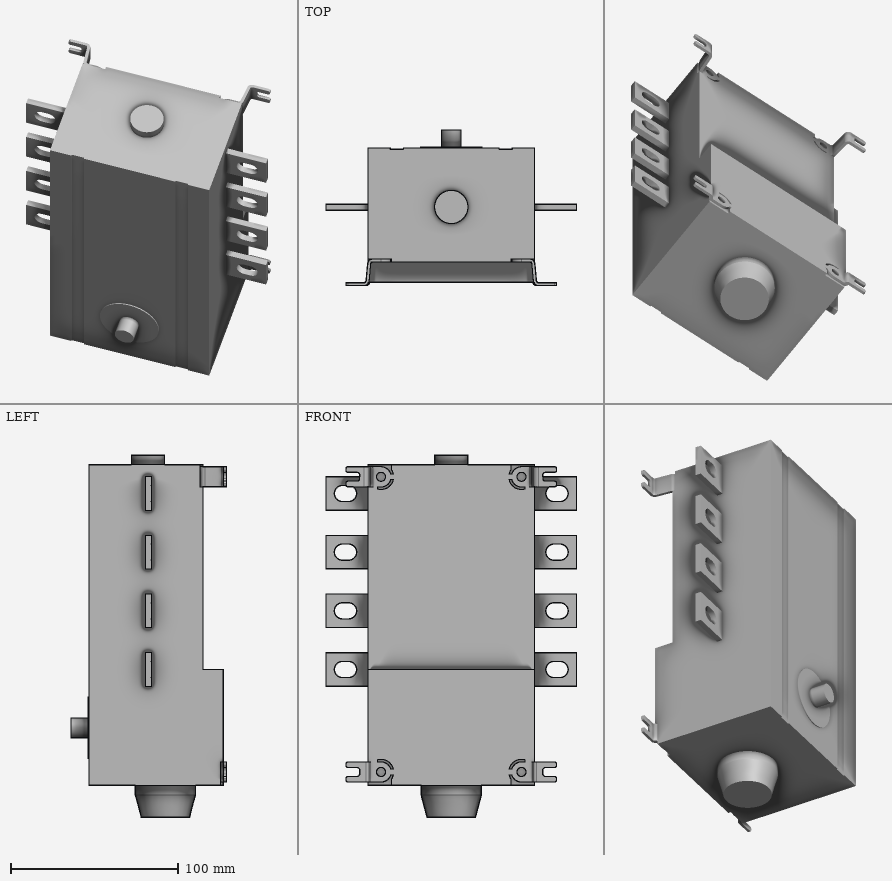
import cadquery as cq
import math

case_width = 99.5
case_height = 191.8
upper_depth = 68.2
lower_depth = 80.3
step_height = 69.3
half_width = case_width / 2

groove_width = 7.8
groove_offset = 32.5
groove_depth = 0.6
disc_diameter = 36.8
disc_height = 0.6
pin_diameter = 12.0
pin_length = 10.8
pin_z = 34.5

top_stub_diameter = 20.0
top_stub_height = 5.6
top_stub_y = -35.3
knob_diameter = 36.2
knob_tip_diameter = 29.0
knob_straight = 5.6
knob_height = 19.0
knob_y = -45.7

bar_length = 150.0
bar_height = 20.1
bar_thickness = 3.7
bar_pitch = 35.0
bar_count = 4
top_bar_z = 174.5
bar_y = -35.5
bar_slot_offset = 63.2
bar_slot_length = 13.2
bar_slot_width = 9.5

bracket_height = 12.1
bracket_thickness = 1.7
bracket_tip_x = 63.0
bracket_hole_x = 42.0
bracket_hole_diameter = 5.5
bracket_foot_y = -82.3
bracket_slot_end_x = 54.8
bracket_slot_width = 5.2
slot_corner_radius = 1.5
prong_radius = 1.3
pad_radius = bracket_height / 2
upper_bracket_z = case_height - 7.4
lower_bracket_z = 8.0

upper_leg_root_x = -49.8
upper_leg_foot_x = -51.0
upper_bend_radius = 1.3
lower_leg_root_x = -50.2
lower_leg_foot_x = -51.5
lower_bend_radius = 0.5

pocket_depth = bracket_thickness
pocket_width = 14.0
pocket_radius = 7.5
pocket_start = 2.2
tooth_width = 3.5
tooth_overlap = 1.0


def box(x_range, y_range, z_range):
    """Box from its low and high limit along each axis."""
    (x0, x1), (y0, y1), (z0, z1) = x_range, y_range, z_range
    return cq.Workplane("XY").box(x1 - x0, y1 - y0, z1 - z0, centered=False).translate((x0, y0, z0))


def y_cylinder(diameter, x, z, y_front, length):
    """Cylinder along Y that starts at y_front and runs toward +Y."""
    return cq.Workplane("XZ", origin=(x, y_front, z)).circle(diameter / 2).extrude(-length)


def make_case():
    profile = [
        (0, 0),
        (-lower_depth, 0),
        (-lower_depth, step_height),
        (-upper_depth, step_height),
        (-upper_depth, case_height),
        (0, case_height),
    ]
    case = cq.Workplane("YZ").polyline(profile).close().extrude(half_width, both=True)
    for side in (-1, 1):
        middle = side * groove_offset
        x_range = (middle - groove_width / 2, middle + groove_width / 2)
        case = case.cut(box(x_range, (-groove_depth, 0), (0, case_height)))
    disc = y_cylinder(disc_diameter, 0, pin_z, 0, disc_height)
    pin = y_cylinder(pin_diameter, 0, pin_z, 0, pin_length)
    return case.union(disc).union(pin)


def make_top_stub():
    base = cq.Workplane("XY", origin=(0, top_stub_y, case_height))
    return base.circle(top_stub_diameter / 2).extrude(top_stub_height)


def make_knob():
    half_profile = [
        (0, 0),
        (knob_diameter / 2, 0),
        (knob_diameter / 2, -knob_straight),
        (knob_tip_diameter / 2, -knob_height),
        (0, -knob_height),
    ]
    knob = cq.Workplane("XZ").polyline(half_profile).close().revolve(360, (0, 0, 0), (0, 1, 0))
    return knob.translate((0, knob_y, 0))


def make_terminal_bar(z):
    bar = cq.Workplane("XZ", origin=(0, bar_y, z)).rect(bar_length, bar_height)
    bar = bar.extrude(bar_thickness / 2, both=True)
    slots = cq.Workplane("XZ", origin=(0, bar_y, z))
    slots = slots.pushPoints([(-bar_slot_offset, 0), (bar_slot_offset, 0)])
    slots = slots.slot2D(bar_slot_length, bar_slot_width)
    return bar.cut(slots.extrude(bar_thickness, both=True))


def make_pocket(front_y, z, edge_z):
    """Left-hand pocket, open to the case side and to the end face at edge_z."""
    y_range = (front_y, front_y + pocket_depth)
    toward_edge = math.copysign(1, edge_z - z)
    pad_edge_z = z - toward_edge * pad_radius
    corner = box(
        (-half_width, -half_width + pocket_width),
        y_range,
        sorted((z, edge_z)),
    )
    strip = box((-half_width, -bracket_hole_x), y_range, sorted((pad_edge_z, z)))
    round_end = y_cylinder(2 * pocket_radius, -bracket_hole_x, z, front_y, pocket_depth)
    kept = box(
        (-bracket_hole_x - pocket_start, -bracket_hole_x + pocket_radius),
        y_range,
        (z - pocket_radius, z + pocket_radius),
    )
    tooth = box(
        (-bracket_hole_x + pad_radius - tooth_overlap, -bracket_hole_x + pocket_radius),
        y_range,
        (z - tooth_width / 2, z + tooth_width / 2),
    )
    return corner.union(strip).union(round_end.intersect(kept)).cut(tooth)


def make_bracket(front_y, z, leg_root_x, leg_foot_x, inner_radius):
    """Left-hand bracket: pad on the pocket floor, leg to the front, forked foot."""
    t = bracket_thickness
    outer_radius = inner_radius + t
    pad_back = front_y + pocket_depth
    pad_end_x = -bracket_hole_x + pad_radius
    strip = [
        (pad_end_x, pad_back),
        (leg_root_x, pad_back),
        (leg_foot_x, bracket_foot_y + t),
        (-bracket_tip_x, bracket_foot_y + t),
        (-bracket_tip_x, bracket_foot_y),
        (leg_foot_x + t, bracket_foot_y),
        (leg_root_x + t, pad_back - t),
        (pad_end_x, pad_back - t),
    ]
    blank = cq.Workplane("XY").polyline(strip).close().extrude(bracket_height)
    blank = blank.translate((0, 0, z - pad_radius))

    def bend_at(corner):
        return cq.selectors.NearestToPointSelector((corner[0], corner[1], z))

    for corner in (strip[1], strip[5]):
        blank = blank.edges(bend_at(corner)).fillet(outer_radius)
    for corner in (strip[2], strip[6]):
        blank = blank.edges(bend_at(corner)).fillet(inner_radius)

    reach = 2 * lower_depth
    round_end = y_cylinder(bracket_height, -bracket_hole_x, z, -reach, reach)
    straight = box(
        (-bracket_tip_x, -bracket_hole_x),
        (-reach, 0),
        (z - pad_radius, z + pad_radius),
    )
    slot = box(
        (-bracket_tip_x, -bracket_slot_end_x),
        (-reach, 0),
        (z - bracket_slot_width / 2, z + bracket_slot_width / 2),
    )
    slot = slot.edges("|Y and >X").fillet(slot_corner_radius)
    outline = straight.cut(slot).edges("|Y and <X").fillet(prong_radius).union(round_end)
    hole = y_cylinder(bracket_hole_diameter, -bracket_hole_x, z, -reach, reach)
    return blank.intersect(outline).cut(hole)


def add_both_sides(body, left_part):
    return body.union(left_part).union(left_part.mirror("YZ"))


def cut_both_sides(body, left_part):
    return body.cut(left_part).cut(left_part.mirror("YZ"))


upper_pocket = make_pocket(-upper_depth, upper_bracket_z, case_height)
lower_pocket = make_pocket(-lower_depth, lower_bracket_z, 0)
upper_bracket = make_bracket(
    -upper_depth, upper_bracket_z, upper_leg_root_x, upper_leg_foot_x, upper_bend_radius
)
lower_bracket = make_bracket(
    -lower_depth, lower_bracket_z, lower_leg_root_x, lower_leg_foot_x, lower_bend_radius
)

result = make_case()
for pocket in (upper_pocket, lower_pocket):
    result = cut_both_sides(result, pocket)
for bracket in (upper_bracket, lower_bracket):
    result = add_both_sides(result, bracket)
for index in range(bar_count):
    result = result.union(make_terminal_bar(top_bar_z - index * bar_pitch))
result = result.union(make_top_stub()).union(make_knob())